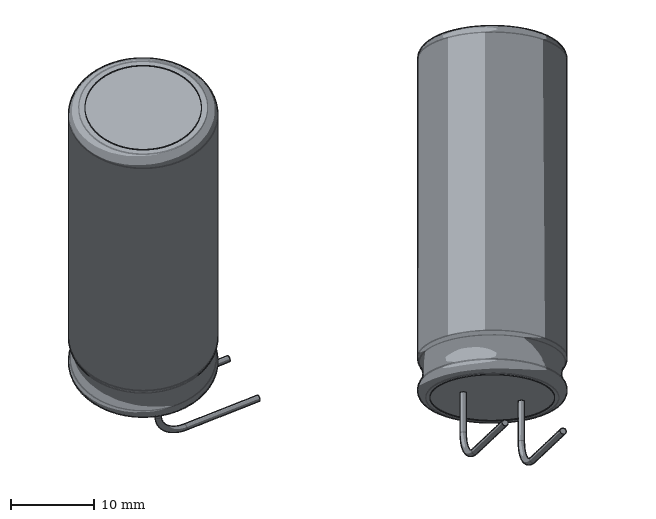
import cadquery as cq
import math

sleeve_diameter = 18.0
sleeve_height = 45.0
sleeve_thickness = 0.1
top_opening_diameter = 14.0
bottom_opening_diameter = 15.0
top_edge_radius = 1.25
rim_radius = 1.0
groove_depth = 0.65
groove_mid_height = 3.1

lead_diameter = 0.8
lead_pitch = 7.5
lead_bend_radius = 3.75
lead_tail_length = 10.0
lead_reach_below = 9.25

sleeve_radius = sleeve_diameter / 2
lip_rise = groove_mid_height - rim_radius
radius_sum = (groove_depth**2 + lip_rise**2) / (2 * groove_depth)
groove_radius = radius_sum - rim_radius
groove_angle = math.asin(lip_rise / radius_sum)


def on_arc(center, radius, angle):
    return (center[0] + radius * math.cos(angle), center[1] + radius * math.sin(angle))


def can_solid(inset):
    """Grooved round can whose whole skin lies `inset` inside the sleeve's outer surface."""
    rim = rim_radius - inset
    groove = groove_radius + inset
    top_edge = top_edge_radius - inset
    rim_center = (sleeve_radius - rim_radius, rim_radius)
    groove_center = (sleeve_radius - groove_depth + groove_radius, groove_mid_height)
    lip_center = (rim_center[0], groove_mid_height + lip_rise)
    top_center = (sleeve_radius - top_edge_radius, sleeve_height - top_edge_radius)
    quarter = math.pi / 2
    return (
        cq.Workplane("XZ")
        .moveTo(0, inset)
        .lineTo(*on_arc(rim_center, rim, -quarter))
        .threePointArc(on_arc(rim_center, rim, 0), on_arc(rim_center, rim, groove_angle))
        .threePointArc(
            on_arc(groove_center, groove, math.pi),
            on_arc(groove_center, groove, math.pi - groove_angle),
        )
        .threePointArc(on_arc(lip_center, rim, -groove_angle / 2), on_arc(lip_center, rim, 0))
        .lineTo(*on_arc(top_center, top_edge, 0))
        .threePointArc(on_arc(top_center, top_edge, quarter / 2), on_arc(top_center, top_edge, quarter))
        .lineTo(0, sleeve_height - inset)
        .close()
        .revolve(360, (0, 0, 0), (0, 1, 0))
    )


def make_can():
    return can_solid(sleeve_thickness)


def make_sleeve(can):
    """Thin skin over the can, open in the middle of both ends."""
    middle = sleeve_height / 2
    bottom_opening = cq.Workplane("XY").circle(bottom_opening_diameter / 2).extrude(middle)
    top_opening = (
        cq.Workplane("XY", origin=(0, 0, middle)).circle(top_opening_diameter / 2).extrude(middle)
    )
    return can_solid(0).cut(can).cut(bottom_opening).cut(top_opening)


def make_lead(x):
    """Round wire that drops from the can's bottom, bends and runs along +Y."""
    start_z = sleeve_thickness
    tail_z = lead_diameter / 2 - lead_reach_below
    bend_z = tail_z + lead_bend_radius
    bend_offset = lead_bend_radius * (1 - math.sqrt(0.5))
    path = (
        cq.Workplane("YZ", origin=(x, 0, 0))
        .moveTo(0, start_z)
        .lineTo(0, bend_z)
        .threePointArc((bend_offset, tail_z + bend_offset), (lead_bend_radius, tail_z))
        .lineTo(lead_bend_radius + lead_tail_length, tail_z)
    )
    return cq.Workplane("XY", origin=(x, 0, start_z)).circle(lead_diameter / 2).sweep(path)


can = make_can()
sleeve = make_sleeve(can)
leads = [make_lead(side * lead_pitch / 2) for side in (-1, 1)]

result = cq.Compound.makeCompound([can.val(), sleeve.val(), *[lead.val() for lead in leads]])